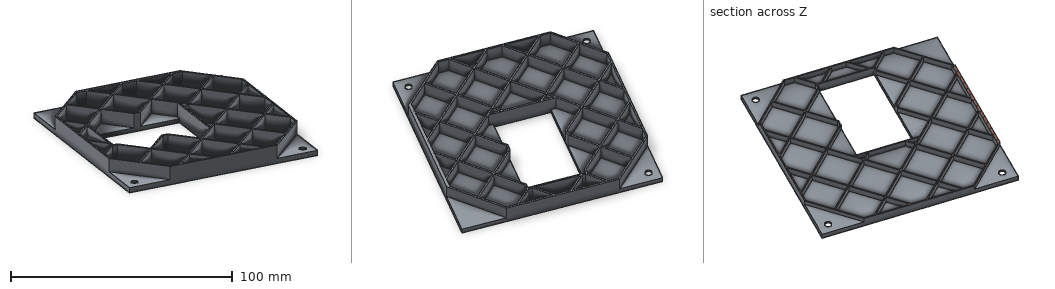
import cadquery as cq
import math

plate_size = 95.0
left_extension = 0.75
plate_thickness = 2.5
cell_floor_thickness = 1.5
open_cell_floor_thickness = 2.0
total_height = 9.0
half_size = plate_size / 2
left_edge = -half_size - left_extension
right_edge = half_size

hole_diameter = 3.25
hole_spacing = 85.0
recess_diameter = 6.2
recess_depth = 1.5

wall_thickness = 0.8
left_wall_thickness = wall_thickness + left_extension
corner_wall_reach = 74.5

rib_angle = 45
rib_thickness = 0.8
rib_spacing = 18.0
rib_count_per_side = 2

window_width = 27.5
window_height = 47.5
window_center_y = -15.0
window_top = window_center_y + window_height / 2
window_bottom = window_center_y - window_height / 2

wall_height = total_height - cell_floor_thickness
diagonal = math.sqrt(2)
rib_pitch = rib_spacing * diagonal
rib_half_reach = rib_thickness * diagonal / 2


def box(x_min, x_max, y_min, y_max, z_min, z_max):
    """Axis-aligned box between the given limits."""
    size = (x_max - x_min, y_max - y_min, z_max - z_min)
    return cq.Workplane("XY").box(*size, centered=False).translate((x_min, y_min, z_min))


def wall_box(x_min, x_max, y_min, y_max):
    """Box standing on the cell floor and reaching the full height."""
    return box(x_min, x_max, y_min, y_max, cell_floor_thickness, total_height)


def wall_prism(points):
    """Prism standing on the cell floor and reaching the full height."""
    base = cq.Workplane("XY").workplane(offset=cell_floor_thickness)
    return base.polyline(points).close().extrude(wall_height)


def diamond(reach):
    """Square turned by 45 degrees, with its corners at the given reach on X and Y."""
    return wall_prism([(reach, 0), (0, reach), (-reach, 0), (0, -reach)])


def make_rim_outline():
    """Eight-sided block bounded by the outer faces of the rim."""
    return wall_box(left_edge, right_edge, -half_size, half_size).intersect(diamond(corner_wall_reach))


def make_rim_inside():
    """Eight-sided block bounded by the inner faces of the rim."""
    inner_reach = corner_wall_reach - wall_thickness * diagonal
    inside = wall_box(
        left_edge + left_wall_thickness,
        right_edge - wall_thickness,
        -half_size + wall_thickness,
        half_size - wall_thickness,
    )
    return inside.intersect(diamond(inner_reach))


def make_lattice():
    """Ribs in both diagonal directions, trimmed to the outside of the rim."""
    rib_length = 2 * plate_size
    ribs = cq.Workplane("XY")
    for angle in (rib_angle, -rib_angle):
        for index in range(-rib_count_per_side, rib_count_per_side + 1):
            rib = (
                cq.Workplane("XY")
                .box(rib_length, rib_thickness, wall_height, centered=(True, True, False))
                .rotate((0, 0, 0), (0, 0, 1), angle)
                .translate((0, index * rib_pitch, cell_floor_thickness))
            )
            ribs = ribs.add(rib)
    return ribs.combine().intersect(make_rim_outline())


def make_window_rim():
    """Wall around the window."""
    half_outer = window_width / 2 + wall_thickness
    top_half_length = rib_pitch - window_top - rib_half_reach
    sides = wall_box(-half_outer, half_outer, window_bottom - wall_thickness, window_top)
    top = wall_box(-top_half_length, top_half_length, window_top, window_top + wall_thickness)
    return sides.union(top)


def make_open_cell(side, center_y):
    """Lattice cell beside the window that has no wall on the window side."""
    reach = rib_pitch / 2 - rib_half_reach
    center_x = side * rib_pitch / 2
    outline = diamond(reach).translate((center_x, center_y, 0))
    below_top_wall = wall_box(left_edge, right_edge, -half_size, window_top)
    return outline.intersect(below_top_wall)


def make_window():
    """Opening through the plate, the ribs and the window rim."""
    half_width = window_width / 2
    return box(-half_width, half_width, window_bottom, window_top, 0, total_height)


def make_holes():
    """Mounting holes, recessed from below; the corner at -X, -Y has none."""
    offset = hole_spacing / 2
    corners = [(-offset, offset), (offset, offset), (offset, -offset)]
    centers = cq.Workplane("XY").pushPoints(corners)
    bores = centers.circle(hole_diameter / 2).extrude(plate_thickness)
    recesses = centers.circle(recess_diameter / 2).extrude(recess_depth)
    return bores.union(recesses)


result = box(left_edge, right_edge, -half_size, half_size, 0, plate_thickness)
result = result.union(make_rim_outline()).cut(make_rim_inside())
result = result.union(make_lattice()).union(make_window_rim())
open_cell_slab = box(left_edge, right_edge, -half_size, half_size, 0, open_cell_floor_thickness)
for cell_side in (-1, 1):
    for cell_center_y in (0, -rib_pitch):
        open_cell = make_open_cell(cell_side, cell_center_y)
        open_cell_floor = open_cell.intersect(open_cell_slab)
        result = result.cut(open_cell).union(open_cell_floor)
result = result.cut(make_window()).cut(make_holes())